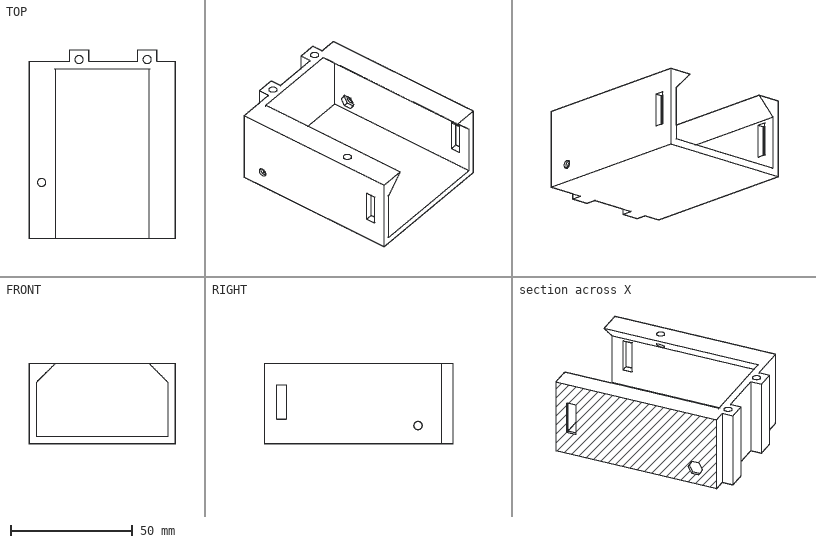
import cadquery as cq
import math

width = 60.0
length = 77.5
height = 33.0

wall = 3.0
tab_depth = 4.8
body_length = length - tab_depth
cavity_width = width - 2 * wall
cavity_length = body_length - wall
lip_reach = 7.75

tab_width = 8.0
tab_pitch = 28.0
first_tab_x = -9.5
tab_centers = (first_tab_x, first_tab_x + tab_pitch)

hole_diameter = 3.3
tab_hole_offset = 0.8
tab_hole_y = body_length + tab_hole_offset
tab_hole_depth = height / 2
lip_hole_inset = 5.1
lip_hole_x = -width / 2 + lip_hole_inset
lip_hole_y = 23.0
side_hole_y = 63.1
side_hole_z = 7.5
nut_across_flats = 5.5
nut_diameter = nut_across_flats / math.cos(math.pi / 6)
nut_depth = 2.0
slot_y = 7.05
slot_z = 17.1
slot_width = 4.0
slot_height = 13.9


def block(size_x, size_y, size_z, x, y, z):
    """Box centred on x, starting at y and z."""
    box = cq.Workplane("XY").box(size_x, size_y, size_z, centered=(True, False, False))
    return box.translate((x, y, z))


def lip(side):
    """Triangular lip along the top of one side wall; side is -1 or 1."""
    outer = side * width / 2
    inner = side * cavity_width / 2
    tip = side * (cavity_width / 2 - lip_reach)
    corners = [(outer, height), (tip, height), (inner, height - lip_reach), (outer, height - lip_reach)]
    profile = cq.Workplane("XZ").polyline(corners).close()
    return profile.extrude(-cavity_length)


def vertical_hole(x, y, bottom, top):
    """Round hole cutter running from bottom to top."""
    return cq.Workplane("XY", origin=(x, y, bottom)).circle(hole_diameter / 2).extrude(top - bottom)


result = block(width, body_length, height, 0, 0, 0)
result = result.cut(block(cavity_width, cavity_length, height, 0, 0, wall))
for side in (-1, 1):
    result = result.union(lip(side))

for x in tab_centers:
    result = result.union(block(tab_width, tab_depth, height, x, body_length, 0))
for x in tab_centers:
    result = result.cut(vertical_hole(x, tab_hole_y, height - tab_hole_depth, height))

result = result.cut(vertical_hole(lip_hole_x, lip_hole_y, height - lip_reach, height))

side_plane = cq.Workplane("YZ", origin=(-width / 2, 0, 0))
result = result.cut(side_plane.center(side_hole_y, side_hole_z).circle(hole_diameter / 2).extrude(width))
result = result.cut(side_plane.center(slot_y, slot_z).rect(slot_width, slot_height).extrude(width))
nut_span = cavity_width + 2 * nut_depth
nut_plane = cq.Workplane("YZ", origin=(-nut_span / 2, side_hole_y, side_hole_z))
result = result.cut(nut_plane.polygon(6, nut_diameter).extrude(nut_span))